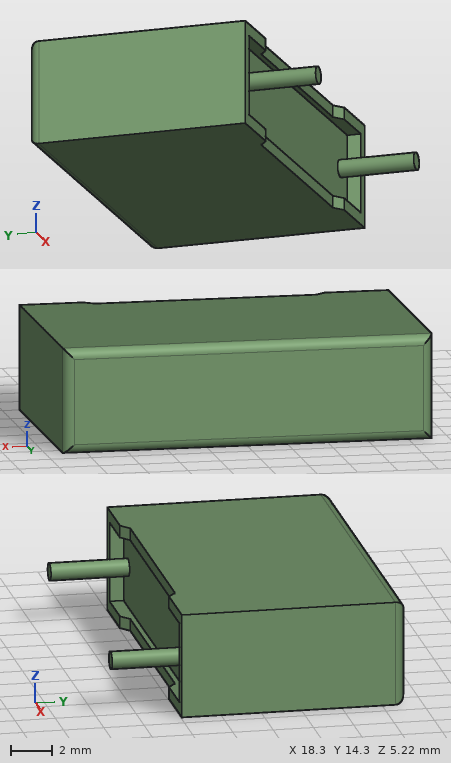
import cadquery as cq

case_length = 18.3
case_depth = 11.09
case_height = 5.22
wall = 0.6
back_fillet = 0.5

relief_depth = 0.4
relief_floor_length = 10.95
relief_slope_run = 0.53

resin_recess = 0.7

lead_diameter = 0.88
lead_pitch = 15.0
lead_projection = 3.2

cavity_length = case_length - 2 * wall
cavity_height = case_height - 2 * wall
cavity_depth = case_depth - wall


def block(length, height, front_y, back_y):
    """Box centred on X and Z, spanning front_y to back_y."""
    depth = back_y - front_y
    box = cq.Workplane("XY").box(length, depth, height)
    return box.translate((0, front_y + depth / 2, 0))


def make_relief():
    """Trapezoidal cutter, widest at the open rim, running through the full height."""
    half_floor = relief_floor_length / 2
    half_mouth = half_floor + relief_slope_run
    profile = [
        (-half_mouth, 0),
        (half_mouth, 0),
        (half_floor, relief_depth),
        (-half_floor, relief_depth),
    ]
    return cq.Workplane("XY").polyline(profile).close().extrude(case_height / 2, both=True)


def make_case():
    """Box open toward -Y with rounded back edges and a relieved rim."""
    shell = block(case_length, case_height, 0, case_depth)
    shell = shell.faces(">Y").edges().fillet(back_fillet)
    cavity = block(cavity_length, cavity_height, 0, cavity_depth)
    return shell.cut(cavity).cut(make_relief())


def make_resin():
    """Resin block filling the cavity up to a recessed surface."""
    return block(cavity_length, cavity_height, resin_recess, cavity_depth)


def make_lead(x):
    """Round lead standing on the resin surface."""
    workplane = cq.Workplane("XZ", origin=(x, resin_recess, 0))
    return workplane.circle(lead_diameter / 2).extrude(resin_recess + lead_projection)


case = make_case()
resin = make_resin()
leads = [make_lead(side * lead_pitch / 2) for side in (-1, 1)]

result = cq.Compound.makeCompound([case.val(), resin.val(), *[lead.val() for lead in leads]])